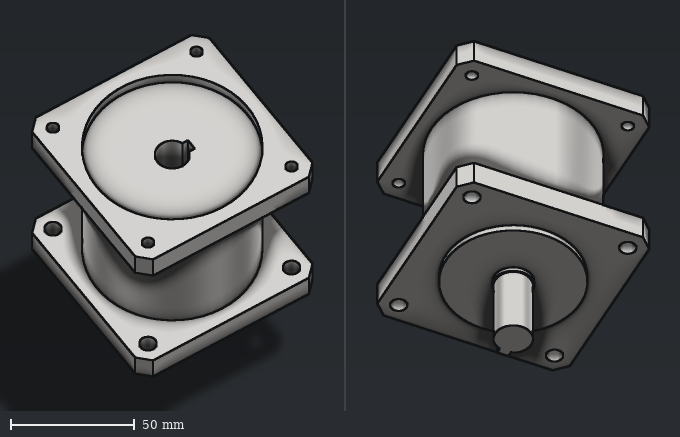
import cadquery as cq

total_height = 114.0
flange_size = 86.0
flange_thickness = 11.0
flange_chamfer = 5.2
hole_pitch = 69.5
upper_hole_diameter = 5.0
lower_hole_diameter = 7.0

body_diameter = 73.0

pilot_diameter = 60.0
pilot_height = 3.0
collar_diameter = 17.0
collar_height = 2.0
shaft_diameter = 16.0
shaft_length = 30.0

key_width = 5.0
key_length = 26.0
key_reach = 10.0

recess_diameter = body_diameter
recess_depth = 5.0
bore_diameter = 14.0
bore_depth = shaft_length
keyway_width = key_width
keyway_reach = 9.2

collar_z = shaft_length
pilot_z = collar_z + collar_height
lower_flange_z = pilot_z + pilot_height
body_z = lower_flange_z + flange_thickness
upper_flange_z = total_height - flange_thickness
recess_z = total_height - recess_depth
bore_z = recess_z - bore_depth


def cylinder(diameter, bottom, top):
    """Cylinder on the Z axis between two heights."""
    return cq.Workplane("XY").workplane(offset=bottom).circle(diameter / 2).extrude(top - bottom)


def flange(bottom, hole_diameter):
    """Square plate with chamfered corners and four through holes."""
    plate = cq.Workplane("XY").workplane(offset=bottom).rect(flange_size, flange_size)
    plate = plate.extrude(flange_thickness).edges("|Z").chamfer(flange_chamfer)
    return (
        plate.faces(">Z").workplane(origin=(0, 0, bottom + flange_thickness))
        .rect(hole_pitch, hole_pitch, forConstruction=True)
        .vertices()
        .hole(hole_diameter)
    )


def shaft_key():
    """Key with a rounded upper end, running out at the free end of the shaft."""
    half_width = key_width / 2
    straight_length = key_length - half_width
    return (
        cq.Workplane("YZ")
        .moveTo(-half_width, 0)
        .lineTo(half_width, 0)
        .lineTo(half_width, straight_length)
        .threePointArc((0, key_length), (-half_width, straight_length))
        .close()
        .extrude(key_reach)
    )


def keyed_bore():
    """Blind bore below the recess, with a keyway on its +Y side."""
    keyway = (
        cq.Workplane("XY")
        .workplane(offset=bore_z)
        .center(0, keyway_reach / 2)
        .rect(keyway_width, keyway_reach)
        .extrude(bore_depth)
    )
    return cylinder(bore_diameter, bore_z, recess_z).union(keyway)


housing = (
    flange(lower_flange_z, lower_hole_diameter)
    .union(cylinder(body_diameter, body_z, upper_flange_z))
    .union(flange(upper_flange_z, upper_hole_diameter))
)

output_end = (
    cylinder(pilot_diameter, pilot_z, lower_flange_z)
    .union(cylinder(collar_diameter, collar_z, pilot_z))
    .union(cylinder(shaft_diameter, 0, collar_z))
    .union(shaft_key())
)

result = (
    housing.union(output_end)
    .cut(cylinder(recess_diameter, recess_z, total_height))
    .cut(keyed_bore())
)